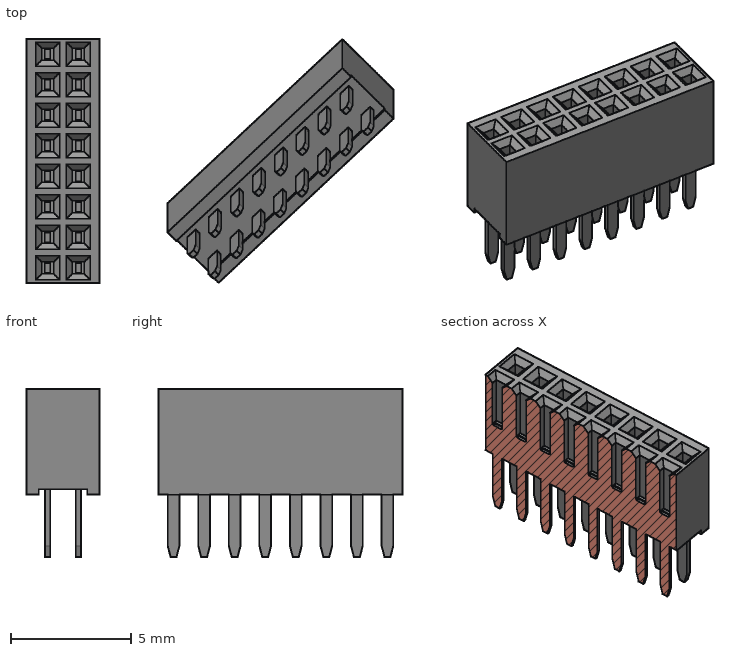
import cadquery as cq

PITCH = 1.27
COLUMNS = 2
ROWS = 8

BODY_WIDTH = 3.05
BODY_LENGTH = ROWS * PITCH
BODY_HEIGHT = 4.4
CHANNEL_WIDTH = 2.0
CHANNEL_DEPTH = 0.22

FUNNEL_OPENING = 1.0
HOLE_SIZE = 0.5
FUNNEL_DEPTH = (FUNNEL_OPENING - HOLE_SIZE) / 2
HOLE_DEPTH = 2.5

PIN_THICKNESS = 0.23
PIN_WIDTH = 0.5
PIN_LENGTH = 2.6
TIP_WIDTH = 0.25
TIP_LENGTH = 0.48

RECESS_DEPTH = 0.05


def contact_positions():
    """Centres of all contacts in the XY plane."""
    first_x = -(COLUMNS - 1) * PITCH / 2
    first_y = -(ROWS - 1) * PITCH / 2
    return [
        (first_x + column * PITCH, first_y + row * PITCH)
        for column in range(COLUMNS)
        for row in range(ROWS)
    ]


def make_housing():
    """Rectangular block with a standoff channel along its underside."""
    block = cq.Workplane("XY").box(
        BODY_WIDTH, BODY_LENGTH, BODY_HEIGHT, centered=(True, True, False)
    )
    channel = cq.Workplane("XY").box(
        CHANNEL_WIDTH, BODY_LENGTH, CHANNEL_DEPTH, centered=(True, True, False)
    )
    return block.cut(channel)


def make_cavity():
    """Material removed for one contact: funnel, square hole and floor recess."""
    floor_z = BODY_HEIGHT - HOLE_DEPTH
    funnel = (
        cq.Workplane("XY", origin=(0, 0, BODY_HEIGHT - FUNNEL_DEPTH))
        .rect(HOLE_SIZE, HOLE_SIZE)
        .workplane(offset=FUNNEL_DEPTH)
        .rect(FUNNEL_OPENING, FUNNEL_OPENING)
        .loft(ruled=True)
    )
    hole = cq.Workplane("XY", origin=(0, 0, floor_z)).rect(HOLE_SIZE, HOLE_SIZE)
    hole = hole.extrude(HOLE_DEPTH - FUNNEL_DEPTH)

    top_half = HOLE_SIZE / 2
    bottom_half = top_half - RECESS_DEPTH
    recess = (
        cq.Workplane("YZ")
        .polyline([
            (-top_half, floor_z),
            (-bottom_half, floor_z - RECESS_DEPTH),
            (bottom_half, floor_z - RECESS_DEPTH),
            (top_half, floor_z),
        ])
        .close()
        .extrude(PIN_THICKNESS / 2, both=True)
    )
    return funnel.union(hole).union(recess)


def make_pin():
    """Flat pin hanging from the channel roof, narrowing in Y at its tip."""
    pin_half = PIN_WIDTH / 2
    tip_half = TIP_WIDTH / 2
    shoulder_z = TIP_LENGTH - PIN_LENGTH
    return (
        cq.Workplane("YZ")
        .polyline([
            (-pin_half, CHANNEL_DEPTH),
            (-pin_half, shoulder_z),
            (-tip_half, -PIN_LENGTH),
            (tip_half, -PIN_LENGTH),
            (pin_half, shoulder_z),
            (pin_half, CHANNEL_DEPTH),
        ])
        .close()
        .extrude(PIN_THICKNESS / 2, both=True)
    )


result = make_housing()
cavity = make_cavity()
pin = make_pin()
for x, y in contact_positions():
    result = result.cut(cavity.translate((x, y, 0)))
    result = result.union(pin.translate((x, y, 0)))